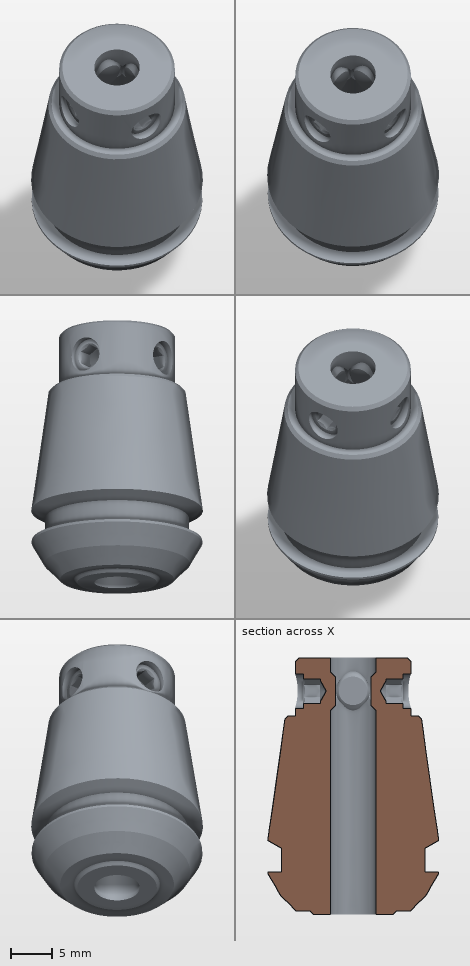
import cadquery as cq

HEIGHT = 31.0
CHAMFER = 0.4
BASE_Z = CHAMFER
KNEE_Z = 2.32
FLANGE_EDGE_Z = 4.9
FLANGE_TOP_Z = 5.2
GROOVE_TOP_Z = 8.0
RIM_Z = 8.95
SHOULDER_Z = 24.0

FOOT_DIA = 9.6
BASE_DIA = 13.75
KNEE_DIA = 17.65
FLANGE_DIA = 20.6
GROOVE_DIA = 17.4
RIM_DIA = 20.75
SHOULDER_DIA = 16.6
NECK_DIA = 13.98

BORE_DIA = 5.5

SCREW_COUNT = 4
SCREW_HOLE_DIA = 4.12
SCREW_DIA = 5.0
SCREW_Z = 27.0
SCREW_TIP_RADIUS = 2.1
SCREW_TIP_DIA = 3.45
SCREW_TIP_TAPER = (SCREW_DIA - SCREW_TIP_DIA) / 2
SCREW_HEAD_RADIUS = 6.0
SOCKET_FLATS = 2.5
SOCKET_DEPTH = 2.0
SOCKET_CONE_HEIGHT = 0.7
SOCKET_MOUTH_DIA = 3.05
SOCKET_MOUTH_DEPTH = 0.25


def turned_body():
    """Revolve the outer profile, from the foot up to the chamfered neck."""
    outline = [
        (0, 0),
        (FOOT_DIA / 2, 0),
        (FOOT_DIA / 2 + BASE_Z, BASE_Z),
        (BASE_DIA / 2, BASE_Z),
        (KNEE_DIA / 2, KNEE_Z),
        (FLANGE_DIA / 2, FLANGE_EDGE_Z),
        (FLANGE_DIA / 2, FLANGE_TOP_Z),
        (GROOVE_DIA / 2, FLANGE_TOP_Z),
        (GROOVE_DIA / 2, GROOVE_TOP_Z),
        (RIM_DIA / 2, RIM_Z),
        (SHOULDER_DIA / 2, SHOULDER_Z - CHAMFER),
        (SHOULDER_DIA / 2 - CHAMFER, SHOULDER_Z),
        (NECK_DIA / 2, SHOULDER_Z),
        (NECK_DIA / 2, HEIGHT - CHAMFER),
        (NECK_DIA / 2 - CHAMFER, HEIGHT),
        (0, HEIGHT),
    ]
    return cq.Workplane("XZ").polyline(outline).close().revolve(360, (0, 0), (0, 1))


def along_x(start_radius, length, diameter, end_diameter=None):
    """Cylinder or cone along +X at screw height, starting at the given radius."""
    start = cq.Vector(start_radius, 0, SCREW_Z)
    axis = cq.Vector(1, 0, 0)
    if end_diameter is None:
        solid = cq.Solid.makeCylinder(diameter / 2, length, start, axis)
    else:
        solid = cq.Solid.makeCone(diameter / 2, end_diameter / 2, length, start, axis)
    return cq.Workplane(solid)


def set_screw():
    """Screw pointing at the axis, with a countersunk hexagon socket ending in a drill cone."""
    socket_floor = SCREW_HEAD_RADIUS - SOCKET_DEPTH
    shank_start = SCREW_TIP_RADIUS + SCREW_TIP_TAPER
    shank = along_x(shank_start, SCREW_HEAD_RADIUS - shank_start, SCREW_DIA)
    tip = along_x(SCREW_TIP_RADIUS, SCREW_TIP_TAPER, SCREW_TIP_DIA, SCREW_DIA)
    socket = (
        cq.Workplane("YZ", origin=(socket_floor, 0, SCREW_Z))
        .polygon(6, SOCKET_FLATS, circumscribed=True)
        .extrude(SOCKET_DEPTH)
    )
    drill_cone = along_x(socket_floor - SOCKET_CONE_HEIGHT, SOCKET_CONE_HEIGHT, 0, SOCKET_FLATS)
    mouth = along_x(
        SCREW_HEAD_RADIUS - SOCKET_MOUTH_DEPTH,
        SOCKET_MOUTH_DEPTH,
        SOCKET_FLATS,
        SOCKET_MOUTH_DIA,
    )
    return shank.union(tip).cut(socket).cut(drill_cone).cut(mouth)


def around_axis(shape):
    """Copies of a shape spread evenly around the Z axis, one for each screw."""
    return [
        shape.rotate((0, 0, 0), (0, 0, 1), index * 360 / SCREW_COUNT)
        for index in range(SCREW_COUNT)
    ]


bore = cq.Workplane("XY").circle(BORE_DIA / 2).extrude(HEIGHT)
result = turned_body().cut(bore)

for screw_hole in around_axis(along_x(0, NECK_DIA / 2, SCREW_HOLE_DIA)):
    result = result.cut(screw_hole)

for screw in around_axis(set_screw()):
    result = result.union(screw)